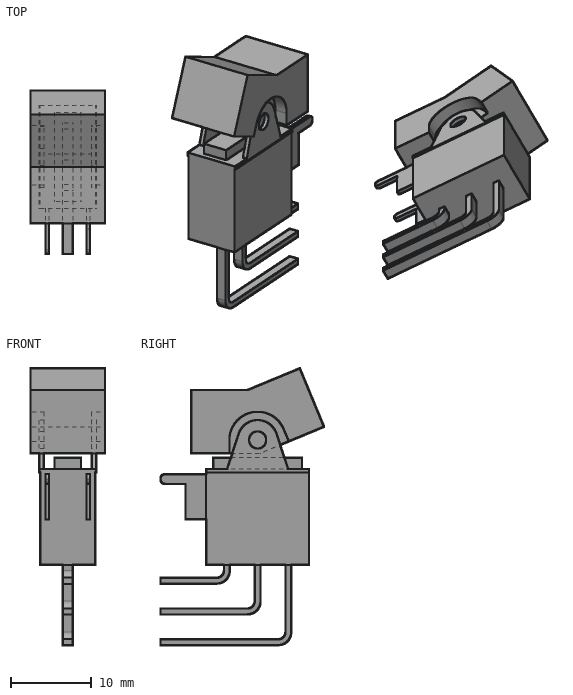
import cadquery as cq
import math


body_width = 6.87
body_length = 12.8
body_height = 11.48
bracket_width = 7.08
plate_thickness = 0.45
plate_top = body_height + plate_thickness
guide_width = 3.3
guide_length = 11.05
guide_height = 1.37

pivot_z = 15.5
ear_thickness = 0.6
ear_radius = 2.47
ear_base_half = 3.78
pivot_hole_diameter = 2.13
ear_inner_x = bracket_width / 2 - ear_thickness

rocker_width = 9.28
wing_reach = 8.25
wing_top = 6.22
wing_bottom = -1.65
rocker_tilt = 22.5
recess_radius = 3.5
recess_depth = rocker_width / 2 - ear_inner_x

terminal_count = 3
terminal_pitch = 3.8
terminal_width = 1.27
terminal_thickness = 0.75
bend_inner_radius = 0.9
bend_outer_radius = bend_inner_radius + terminal_thickness
terminal_lowest = -9.97
front_y = -12.05

tab_spacing = 5.1
tab_thickness = 0.48
tab_top = 11.27
tab_arm_height = 1.25
tab_leg_bottom = 5.65
tab_leg_y = -8.97
tab_tip_radius = 0.6


def extrude_along_x(sketch_on_yz, width, center_x=0):
    """Extrude a YZ outline by width along X, with its middle at center_x."""
    return sketch_on_yz.extrude(width).translate((center_x - width / 2, 0, 0))


def tilt(shape):
    """Turn a shape about the pivot so that its +Y end rises."""
    return shape.rotate((0, 0, pivot_z), (1, 0, pivot_z), rocker_tilt)


def make_body():
    body = cq.Workplane("XY").box(body_width, body_length, body_height, centered=(True, True, False))
    plate = (
        cq.Workplane("XY", origin=(0, 0, body_height))
        .box(bracket_width, body_length, plate_thickness, centered=(True, True, False))
    )
    guide = (
        cq.Workplane("XY", origin=(0, 0, plate_top))
        .box(guide_width, guide_length, guide_height, centered=(True, True, False))
    )
    return body.union(plate).union(guide)


def make_ear(side):
    pivot_height = pivot_z - plate_top
    corner_distance = math.hypot(ear_base_half, pivot_height)
    tangent_angle = math.acos(ear_radius / corner_distance) - math.atan2(pivot_height, ear_base_half)
    tangent_y = ear_radius * math.cos(tangent_angle)
    tangent_z = pivot_z + ear_radius * math.sin(tangent_angle)
    outline = (
        cq.Workplane("YZ")
        .moveTo(-ear_base_half, plate_top)
        .lineTo(ear_base_half, plate_top)
        .lineTo(tangent_y, tangent_z)
        .threePointArc((0, pivot_z + ear_radius), (-tangent_y, tangent_z))
        .close()
    )
    ear = extrude_along_x(outline, ear_thickness, side * (ear_inner_x + ear_thickness / 2))
    hole = extrude_along_x(
        cq.Workplane("YZ", origin=(0, 0, pivot_z)).circle(pivot_hole_diameter / 2),
        ear_thickness,
        side * (ear_inner_x + ear_thickness / 2),
    )
    return ear, hole


def make_recess_slot(side):
    outline = (
        cq.Workplane("YZ", origin=(0, 0, pivot_z))
        .moveTo(-recess_radius, 0)
        .threePointArc((0, recess_radius), (recess_radius, 0))
        .lineTo(recess_radius, -recess_radius)
        .lineTo(-recess_radius, -recess_radius)
        .close()
    )
    return extrude_along_x(outline, recess_depth, side * (ear_inner_x + recess_depth / 2))


def make_rocker():
    tilt_angle = math.radians(rocker_tilt)
    half_tilt_slope = math.tan(tilt_angle / 2)

    def raised_corner(z):
        """Outer corner of the raised wing at height z above the pivot before tilting."""
        return (
            wing_reach * math.cos(tilt_angle) - z * math.sin(tilt_angle),
            wing_reach * math.sin(tilt_angle) + z * math.cos(tilt_angle),
        )

    outline = cq.Workplane("YZ", origin=(0, 0, pivot_z)).polyline([
        (-wing_reach, wing_bottom),
        (-wing_reach, wing_top),
        (-wing_top * half_tilt_slope, wing_top),
        raised_corner(wing_top),
        raised_corner(wing_bottom),
        (-wing_bottom * half_tilt_slope, wing_bottom),
    ]).close()
    rocker = extrude_along_x(outline, rocker_width)

    for side in (-1, 1):
        slot = make_recess_slot(side)
        rocker = rocker.cut(slot).cut(tilt(slot))
    return rocker


def make_terminal(index):
    """L-shaped terminal; index 0 is nearest the front and has the shortest drop."""
    center_y = (index - (terminal_count - 1) / 2) * terminal_pitch
    inner_y = center_y - terminal_thickness / 2
    outer_y = center_y + terminal_thickness / 2
    bottom_z = terminal_lowest + (terminal_count - 1 - index) * terminal_pitch
    upper_z = bottom_z + terminal_thickness
    bend_z = bottom_z + bend_outer_radius
    bend_y = outer_y - bend_outer_radius
    outline = (
        cq.Workplane("YZ")
        .moveTo(inner_y, 0)
        .lineTo(outer_y, 0)
        .lineTo(outer_y, bend_z)
        .radiusArc((bend_y, bottom_z), bend_outer_radius)
        .lineTo(front_y, bottom_z)
        .lineTo(front_y, upper_z)
        .lineTo(bend_y, upper_z)
        .radiusArc((inner_y, bend_z), -bend_inner_radius)
        .close()
    )
    return extrude_along_x(outline, terminal_width)


def make_tab(side):
    body_front = -body_length / 2
    arm_bottom = tab_top - tab_arm_height
    outline = cq.Workplane("YZ").polyline([
        (body_front, tab_top),
        (front_y, tab_top),
        (front_y, arm_bottom),
        (tab_leg_y, arm_bottom),
        (tab_leg_y, tab_leg_bottom),
        (body_front, tab_leg_bottom),
    ]).close()
    tab = extrude_along_x(outline, tab_thickness, side * tab_spacing / 2)
    return tab.edges("|X and <Y").fillet(tab_tip_radius)


result = make_body().union(make_rocker())
for side in (-1, 1):
    ear, pivot_hole = make_ear(side)
    result = result.union(ear).cut(pivot_hole).union(make_tab(side))
for index in range(terminal_count):
    result = result.union(make_terminal(index))